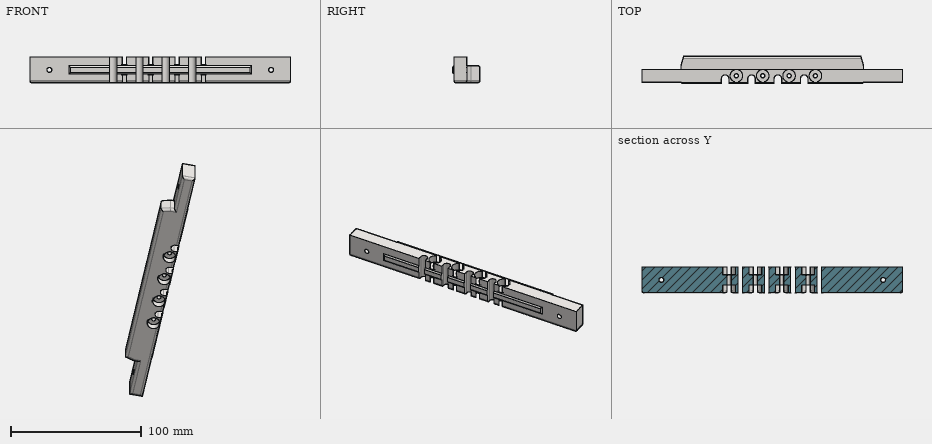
import cadquery as cq

bar_length = 200.0
bar_depth = 10.0
bar_height = 20.0
back_face = bar_depth / 2
front_face = -bar_depth / 2
bottom_edge_radius = 2.0
top_edge_radius = 1.8

block_length = 140.0
block_depth = 10.0
block_height = bar_height * 2 / 3
block_square_depth = 3.0
block_end_taper = 2.0

rib_length = block_length
rib_width = 6.5
rib_depth = 1.0
rib_bevel = 1.2

mount_hole_diameter = 3.5
mount_hole_spacing = 170.0

station_count = 4
station_pitch = 20.2
groove_row_center = -5.8
bore_row_center = 2.8

groove_width = 5.5
groove_reach = 5.5

pin_hole_diameter = 3.0
pocket_diameter = 9.5
pocket_depth = 6.0
slit_width = 3.0


def make_body():
    """Bar and back block, rounded along the bottom outline and the block's top rear edge."""
    bar = cq.Workplane("XY").box(bar_length, bar_depth, bar_height, centered=(True, True, False))
    half_base = block_length / 2
    half_rear = half_base - block_end_taper
    shoulder = back_face + block_square_depth
    rear = back_face + block_depth
    block = (
        cq.Workplane("XY")
        .moveTo(-half_base, 0)
        .lineTo(-half_base, shoulder)
        .lineTo(-half_rear, rear)
        .lineTo(half_rear, rear)
        .lineTo(half_base, shoulder)
        .lineTo(half_base, 0)
        .close()
        .extrude(block_height)
    )
    body = bar.union(block)
    body = body.faces(">Y").edges(">Z").fillet(top_edge_radius)
    return body.faces("<Z").edges().fillet(bottom_edge_radius)


def make_rib():
    """Long rib whose four sides slope in toward its front face."""
    return (
        cq.Workplane("XZ", origin=(0, front_face, bar_height / 2))
        .rect(rib_length, rib_width)
        .workplane(offset=rib_depth)
        .rect(rib_length - 2 * rib_bevel, rib_width - 2 * rib_bevel)
        .loft(ruled=True)
    )


def make_mount_holes():
    return (
        cq.Workplane("XZ", origin=(0, back_face, bar_height / 2))
        .pushPoints([(-mount_hole_spacing / 2, 0), (mount_hole_spacing / 2, 0)])
        .circle(mount_hole_diameter / 2)
        .extrude(bar_depth)
    )


def make_groove(x):
    """Round-bottomed groove over the full height, open through the rib."""
    radius = groove_width / 2
    arc_start = front_face + groove_reach - radius
    mouth = front_face - rib_depth
    return (
        cq.Workplane("XY")
        .moveTo(x - radius, mouth)
        .lineTo(x - radius, arc_start)
        .threePointArc((x, arc_start + radius), (x + radius, arc_start))
        .lineTo(x + radius, mouth)
        .close()
        .extrude(bar_height)
    )


def make_bore(x):
    """Through pin hole with a wide pocket, slit front to back, at the top and at the bottom."""
    pin_hole = cq.Workplane("XY").center(x, 0).circle(pin_hole_diameter / 2).extrude(bar_height)
    slit = cq.Workplane("XY").center(x, 0).rect(slit_width, bar_depth).extrude(pocket_depth)
    pocket = cq.Workplane("XY").center(x, 0).circle(pocket_diameter / 2).extrude(pocket_depth).union(slit)
    top_pocket = pocket.translate((0, 0, bar_height - pocket_depth))
    return pin_hole.union(pocket).union(top_pocket)


result = make_body().union(make_rib()).cut(make_mount_holes())
for station in range(station_count):
    shift = (station - (station_count - 1) / 2) * station_pitch
    result = result.cut(make_groove(groove_row_center + shift))
    result = result.cut(make_bore(bore_row_center + shift))